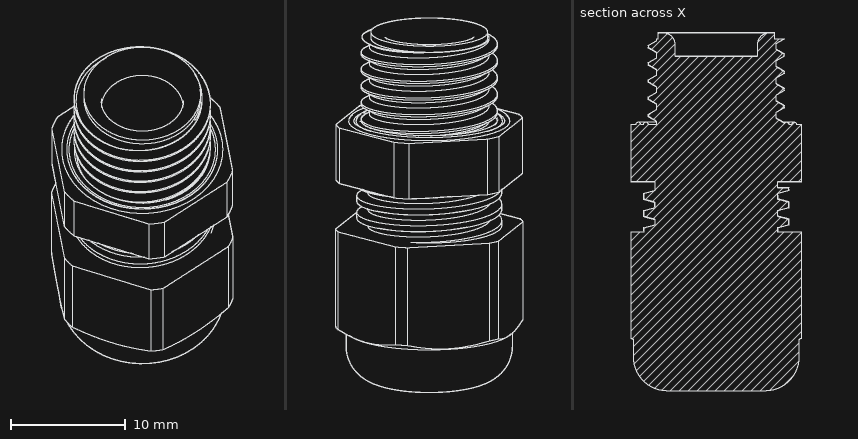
import cadquery as cq
import math

TOTAL_HEIGHT = 31.26
DOME_HEIGHT = 3.0
NUT_CHAMFER_BOTTOM = 4.5
NUT_TOP = 13.88
LOWER_THREAD_TOP = 17.75
BODY_HEX_BOTTOM = 18.25
BODY_HEX_TOP = 23.25
UPPER_THREAD_TOP = 30.72

ACROSS_FLATS = 14.87
ACROSS_CORNERS = ACROSS_FLATS / math.cos(math.radians(30))
NUT_CORNER_RADIUS = 8.29
BODY_CORNER_RADIUS = 8.22
NUT_CHAMFER_ANGLE = 30.0

DOME_RADIUS = 7.265
TIP_RADIUS = 5.1

PITCH = 1.5
UPPER_MAJOR_RADIUS = 5.95
UPPER_ROOT_RADIUS = 5.22
UPPER_CREST_WIDTH = 0.19
UPPER_FLANK_ANGLE = 30.0
UPPER_CREST_HEIGHT = 28.92
LOWER_MAJOR_RADIUS = 6.33
LOWER_ROOT_RADIUS = 5.37
LOWER_CREST_WIDTH = 0.52
LOWER_FLANK_ANGLE = 15.0
LOWER_CREST_HEIGHT = 15.86
ROOT_OVERLAP = 0.1
TRIM_CLEARANCE = 1.0

BEAD_RADIUS = 0.225
BEAD_RING_RADII = (6.155, 6.805)

BORE_RADIUS = 3.58
BORE_DEPTH = 2.05
BORE_LIP_RADIUS = 1.05


def cylinder(radius, bottom, top):
    return cq.Workplane("XY").workplane(offset=bottom).circle(radius).extrude(top - bottom)


def hexagon(corner_radius, bottom, top):
    """Hexagonal prism, corners on the X axis, with its corners turned to a cylinder."""
    prism = (
        cq.Workplane("XY")
        .workplane(offset=bottom)
        .polygon(6, ACROSS_CORNERS)
        .extrude(top - bottom)
    )
    return prism.intersect(cylinder(corner_radius, bottom, top))


def cap_nut():
    """Lower hexagon with a conical underside on a rounded cylindrical end."""
    chamfer_rise = (NUT_CORNER_RADIUS - DOME_RADIUS) * math.tan(math.radians(NUT_CHAMFER_ANGLE))
    envelope = (
        cq.Workplane("XZ")
        .moveTo(0, NUT_CHAMFER_BOTTOM)
        .lineTo(DOME_RADIUS, NUT_CHAMFER_BOTTOM)
        .lineTo(NUT_CORNER_RADIUS, NUT_CHAMFER_BOTTOM + chamfer_rise)
        .lineTo(NUT_CORNER_RADIUS, NUT_TOP)
        .lineTo(0, NUT_TOP)
        .close()
        .revolve(360, (0, 0, 0), (0, 1, 0))
    )
    hex_part = hexagon(NUT_CORNER_RADIUS, NUT_CHAMFER_BOTTOM, NUT_TOP).intersect(envelope)
    dome = cylinder(DOME_RADIUS, 0, NUT_CHAMFER_BOTTOM).faces("<Z").edges().fillet(DOME_HEIGHT)
    return dome.union(hex_part)


def thread_ridge(major, root, crest_width, flank_angle, crest_height, bottom, top):
    """Right-hand helical ridge cut flat at its bottom and top planes.

    crest_height is the height of one crest centre on the -X side.
    """
    inner = root - ROOT_OVERLAP
    half_crest = crest_width / 2
    half_base = half_crest + (major - inner) * math.tan(math.radians(flank_angle))
    crest_on_plus_x = crest_height - PITCH / 2
    turns_below = math.ceil((crest_on_plus_x - bottom) / PITCH) + 1
    start = crest_on_plus_x - turns_below * PITCH
    turns = math.ceil((top - start) / PITCH) + 1
    helix = cq.Wire.makeHelix(PITCH, turns * PITCH, root, center=cq.Vector(0, 0, start))
    ridge = (
        cq.Workplane("XZ")
        .polyline([
            (inner, start - half_base),
            (major, start - half_crest),
            (major, start + half_crest),
            (inner, start + half_base),
        ])
        .close()
        .sweep(cq.Workplane(obj=helix), isFrenet=True)
    )
    return ridge.intersect(cylinder(major + TRIM_CLEARANCE, bottom, top))


def lower_thread():
    """Thread between the hexagons; its core runs on into both of them."""
    core = cylinder(LOWER_ROOT_RADIUS, NUT_CHAMFER_BOTTOM, BODY_HEX_TOP)
    ridge = thread_ridge(
        LOWER_MAJOR_RADIUS, LOWER_ROOT_RADIUS, LOWER_CREST_WIDTH, LOWER_FLANK_ANGLE,
        LOWER_CREST_HEIGHT, NUT_TOP, LOWER_THREAD_TOP,
    )
    return core.union(ridge)


def upper_thread():
    """Entry thread with a plain tip; its core and tip are rooted in the body hexagon."""
    core = cylinder(UPPER_ROOT_RADIUS, BODY_HEX_BOTTOM, UPPER_THREAD_TOP)
    tip = cylinder(TIP_RADIUS, BODY_HEX_TOP, TOTAL_HEIGHT)
    ridge = thread_ridge(
        UPPER_MAJOR_RADIUS, UPPER_ROOT_RADIUS, UPPER_CREST_WIDTH, UPPER_FLANK_ANGLE,
        UPPER_CREST_HEIGHT, BODY_HEX_TOP, UPPER_THREAD_TOP,
    )
    return core.union(ridge).union(tip)


def sealing_bead(ring_radius):
    """Half-round ring standing on the top face of the body hexagon."""
    ring_centre = cq.Vector(0, 0, BODY_HEX_TOP)
    return cq.Workplane(obj=cq.Solid.makeTorus(ring_radius, BEAD_RADIUS, ring_centre))


def body_hexagon():
    body = hexagon(BODY_CORNER_RADIUS, BODY_HEX_BOTTOM, BODY_HEX_TOP)
    for ring_radius in BEAD_RING_RADII:
        body = body.union(sealing_bead(ring_radius))
    return body


def bore():
    """Blind bore whose mouth flares out over a quarter-round lip."""
    floor = TOTAL_HEIGHT - BORE_DEPTH
    lip_bottom = TOTAL_HEIGHT - BORE_LIP_RADIUS
    mouth_radius = BORE_RADIUS + BORE_LIP_RADIUS
    arc_offset = BORE_LIP_RADIUS * math.cos(math.radians(45))
    return (
        cq.Workplane("XZ")
        .moveTo(0, floor)
        .lineTo(BORE_RADIUS, floor)
        .lineTo(BORE_RADIUS, lip_bottom)
        .threePointArc((mouth_radius - arc_offset, lip_bottom + arc_offset), (mouth_radius, TOTAL_HEIGHT))
        .lineTo(0, TOTAL_HEIGHT)
        .close()
        .revolve(360, (0, 0, 0), (0, 1, 0))
    )


result = cap_nut().union(lower_thread()).union(body_hexagon()).union(upper_thread()).cut(bore())